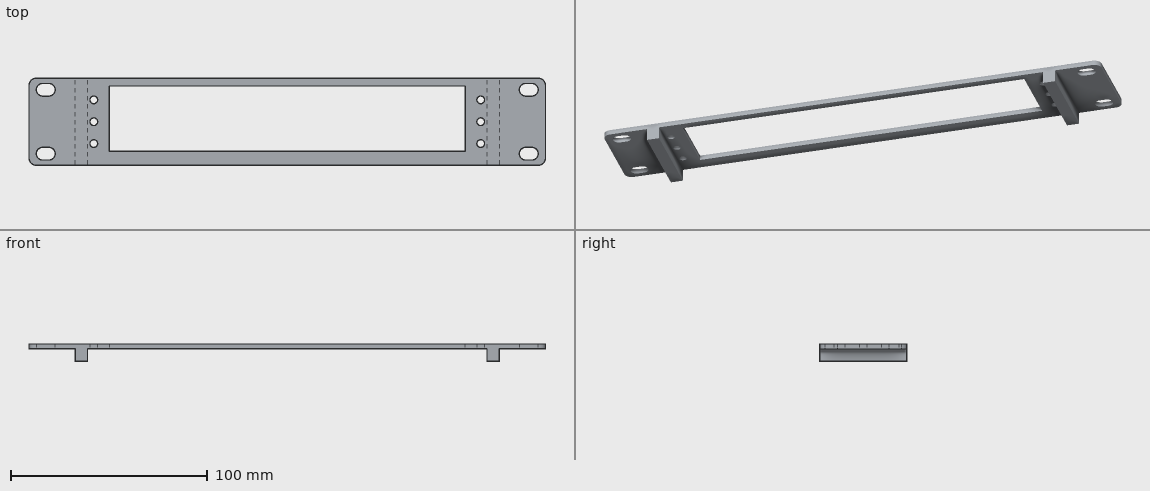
import cadquery as cq

plate_length = 262.89
plate_width = 44.45
plate_thickness = 2.54
corner_radius = 3.81

window_length = 180.9
window_width = 33.1
window_offset_y = 1.56

slot_length = 9.525
slot_width = 6.35
slot_inset_x = 8.5725
slot_spacing_x = plate_length - 2 * slot_inset_x
slot_spacing_y = 32.5

hole_diameter = 3.81
hole_pitch = 11.1125
holes_per_column = 3
hole_column_spacing = 196.85

rib_thickness = 6.35
rib_depth = 6.35
rib_spacing = 209.55


def make_plate():
    """Flat plate with rounded corners."""
    plate = cq.Workplane("XY").rect(plate_length, plate_width).extrude(plate_thickness)
    return plate.edges("|Z").fillet(corner_radius)


def make_ribs():
    """Two square bars under the plate, running its full width."""
    ribs = cq.Workplane("XY").rarray(rib_spacing, 1, 2, 1)
    return ribs.rect(rib_thickness, plate_width).extrude(-rib_depth)


def make_window():
    """Cutter for the rectangular opening."""
    window = cq.Workplane("XY").center(0, window_offset_y)
    return window.rect(window_length, window_width).extrude(plate_thickness)


def make_slots():
    """Cutters for the four corner slots."""
    slots = cq.Workplane("XY").rarray(slot_spacing_x, slot_spacing_y, 2, 2)
    return slots.slot2D(slot_length, slot_width).extrude(plate_thickness)


def make_holes():
    """Cutters for the two columns of round holes."""
    holes = cq.Workplane("XY").rarray(hole_column_spacing, hole_pitch, 2, holes_per_column)
    return holes.circle(hole_diameter / 2).extrude(plate_thickness)


body = make_plate().union(make_ribs())
result = body.cut(make_window()).cut(make_slots()).cut(make_holes())